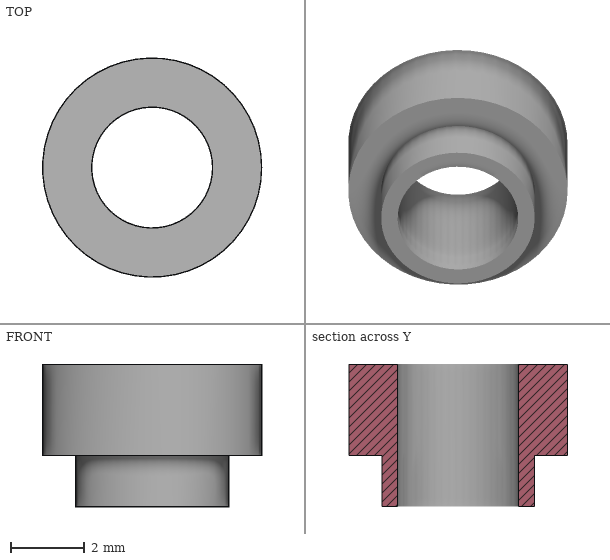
import cadquery as cq

head_diameter = 6.0
spigot_diameter = 4.2
bore_diameter = 3.3
total_height = 3.9
spigot_height = 1.4
head_height = total_height - spigot_height

spigot = cq.Workplane("XY").circle(spigot_diameter / 2).extrude(spigot_height)

head = (
    cq.Workplane("XY")
    .workplane(offset=spigot_height)
    .circle(head_diameter / 2)
    .extrude(head_height)
)

bore = cq.Workplane("XY").circle(bore_diameter / 2).extrude(total_height)

result = spigot.union(head).cut(bore)